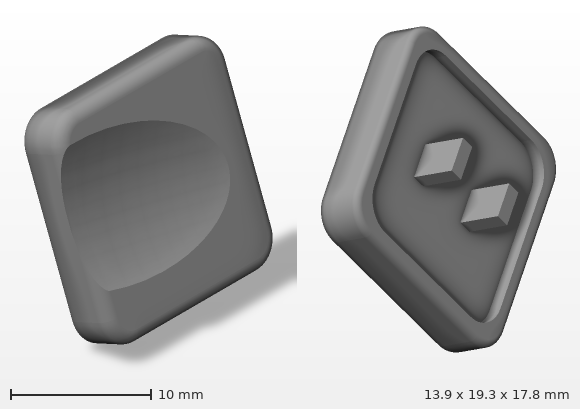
import cadquery as cq
import math

cap_side = 18.0
cap_thickness = 3.95
corner_radius = 2.5
top_fillet = 1.0
base_fillet = 0.5

rim_width = 1.24
recess_depth = 1.0
recess_side = cap_side - 2 * rim_width
recess_corner_radius = 2.5

leg_thickness = 1.15
leg_width = 2.88
leg_length = 3.5
leg_spacing = 5.7

scoop_half_length = 11.2
scoop_half_width = 5.78
scoop_depth = 1.4
scoop_center_x = -5.0
scoop_center_y = 0.85
scoop_turn = -10

tilt = 20



def rounded_slab(side, thickness, radius):
    return (
        cq.Workplane("XY")
        .rect(side, side)
        .extrude(thickness)
        .edges("|Z")
        .fillet(radius)
    )


def make_body():
    body = rounded_slab(cap_side, cap_thickness, corner_radius)
    body = body.faces(">Z").edges().fillet(top_fillet)
    body = body.faces("<Z").edges().fillet(base_fillet)
    return body.cut(rounded_slab(recess_side, recess_depth, recess_corner_radius))


def make_legs():
    return (
        cq.Workplane("XY", origin=(0, 0, recess_depth))
        .rarray(leg_spacing, 0.2, 2, 1)
        .rect(leg_thickness, leg_width)
        .extrude(-leg_length)
    )


def make_scoop():
    round_radius = (scoop_half_width**2 + scoop_depth**2) / (2 * scoop_depth)
    long_radius = round_radius * scoop_half_length / scoop_half_width
    axis_height = cap_thickness + round_radius - scoop_depth
    ellipsoid = (
        cq.Workplane("XY")
        .ellipseArc(long_radius, round_radius, 0, 180, startAtCurrent=False)
        .close()
        .revolve(360, (0, 0, 0), (1, 0, 0))
    )
    return (
        ellipsoid.rotate((0, 0, 0), (0, 0, 1), scoop_turn)
        .translate((scoop_center_x, scoop_center_y, axis_height))
    )


def tilt_plane():
    sine = math.sin(math.radians(tilt))
    cosine = math.cos(math.radians(tilt))
    return cq.Plane(
        origin=(0, 0, 0),
        xDir=(sine, cosine, 0),
        normal=(cosine * cosine, -sine * cosine, sine),
    )


keycap = make_body().union(make_legs()).cut(make_scoop())
result = cq.Workplane(obj=keycap.val().moved(cq.Location(tilt_plane())))